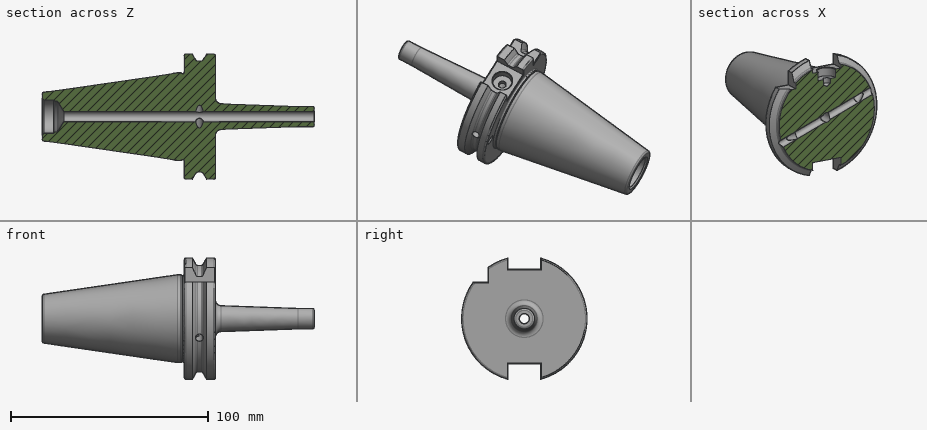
import cadquery as cq
import math


drill_point_angle = 118

taper_length = 68.4
gauge_radius = 22.3
taper_ratio = 7 / 24
taper_end_radius = gauge_radius - taper_length * taper_ratio / 2
taper_end_fillet = 1.0

neck_land_length = 1.6
neck_root_depth = 0.5
neck_fillet = 1.0

flange_start = 71.7
flange_width = 15.8
flange_end = flange_start + flange_width
flange_radius = 31.7
flange_fillet = 0.8

groove_center = 79.4
groove_opening = 7.1
groove_floor_radius = 28.2
groove_wall_angle = 30
groove_fillet = 1.0

total_length = 137.4
shank_root_radius = 6.6
shank_root_fillet = 2.9
shank_tip_radius = 5.2
shank_tip_length = 8.1
shank_tip_fillet = 1.0

pilot_radius = 8.4
pilot_depth = 5.8
pilot_chamfer = 0.8
seat_radius = 7.7
seat_depth = 7.4
throat_radius = 6.9
through_radius = 2.5

slot_width = 16.4
upper_slot_floor = 25.0
lower_slot_floor = 22.8
notch_offset = 18.4
cut_chamfer = 0.4
chamfer_angle = 45
cut_clearance = 1.4

pocket_center = 79.4
pocket_radius = 5.0
pocket_depth = 4.5
pocket_chamfer = 0.3
pocket_drill_radius = 1.9
pocket_drill_depth = 2.7

coolant_radius = 1.9
coolant_angle = 20
coolant_inlet_radius = 26.9
coolant_tilt = 45


def revolve_x(profile):
    return profile.close().revolve(360, (0, 0, 0), (1, 0, 0))


def cylinder(radius, length, start, direction):
    solid = cq.Solid.makeCylinder(radius, length, cq.Vector(*start), cq.Vector(*direction))
    return cq.Workplane(obj=solid)


def drill_point_length(radius):
    return radius / math.tan(math.radians(drill_point_angle / 2))


def make_taper():
    neck_start = taper_length + neck_land_length
    root_radius = gauge_radius - neck_root_depth
    profile = (
        cq.Workplane("XZ")
        .lineTo(0, taper_end_radius)
        .lineTo(taper_length, gauge_radius)
        .lineTo(neck_start, gauge_radius)
        .lineTo(flange_start - neck_fillet, root_radius)
        .radiusArc((flange_start, root_radius + neck_fillet), -neck_fillet)
        .lineTo(flange_start, 0)
    )
    return revolve_x(profile).faces("<X").edges().fillet(taper_end_fillet)


def make_flange():
    disc = cylinder(flange_radius, flange_width, (flange_start, 0, 0), (1, 0, 0))
    disc = disc.edges().fillet(flange_fillet)
    half_opening = groove_opening / 2
    wall_run = (flange_radius - groove_floor_radius) * math.tan(math.radians(groove_wall_angle))
    half_floor = half_opening - wall_run
    groove = revolve_x(
        cq.Workplane("XZ")
        .moveTo(groove_center - half_opening, flange_radius)
        .lineTo(groove_center - half_floor, groove_floor_radius)
        .lineTo(groove_center + half_floor, groove_floor_radius)
        .lineTo(groove_center + half_opening, flange_radius)
    )
    floor_edges = cq.selectors.RadiusNthSelector(0)
    return disc.cut(groove.edges(floor_edges).fillet(groove_fillet))


def make_shank():
    tip_start = total_length - shank_tip_length
    root_end = flange_end + shank_root_fillet
    profile = (
        cq.Workplane("XZ")
        .moveTo(flange_end, 0)
        .lineTo(flange_end, shank_root_radius + shank_root_fillet)
        .radiusArc((root_end, shank_root_radius), -shank_root_fillet)
        .lineTo(tip_start, shank_tip_radius)
        .lineTo(total_length, shank_tip_radius)
        .lineTo(total_length, 0)
    )
    return revolve_x(profile).faces(">X").edges().fillet(shank_tip_fillet)


def make_bore():
    seat_start = pilot_depth + pilot_radius - seat_radius
    throat_start = seat_depth + seat_radius - throat_radius
    point_end = throat_start + drill_point_length(throat_radius - through_radius)
    profile = (
        cq.Workplane("XZ")
        .lineTo(0, pilot_radius + pilot_chamfer)
        .lineTo(pilot_chamfer, pilot_radius)
        .lineTo(pilot_depth, pilot_radius)
        .lineTo(seat_start, seat_radius)
        .lineTo(seat_depth, seat_radius)
        .lineTo(throat_start, throat_radius)
        .lineTo(point_end, through_radius)
        .lineTo(total_length, through_radius)
        .lineTo(total_length, 0)
    )
    return revolve_x(profile)


def make_flange_cut(y_min, y_max, z_min, z_max):
    """Rectangular cut across the flange, flared by a chamfer at both flange faces."""
    y_center = (y_min + y_max) / 2
    z_center = (z_min + z_max) / 2
    width = y_max - y_min
    height = z_max - z_min
    middle = cq.Workplane("YZ", origin=(flange_start, y_center, z_center))
    cut = middle.rect(width, height).extrude(flange_width)
    for face_x, inward in ((flange_start, 1), (flange_end, -1)):
        face = cq.Plane(origin=(face_x, y_center, z_center), xDir=(0, 1, 0), normal=(inward, 0, 0))
        flare = cq.Workplane(face).rect(width + 2 * cut_chamfer, height + 2 * cut_chamfer)
        cut = cut.union(flare.extrude(cut_chamfer, taper=chamfer_angle))
    return cut


def make_flange_cuts():
    beyond = flange_radius + cut_clearance
    half_slot = slot_width / 2
    upper_slot = make_flange_cut(-half_slot, half_slot, upper_slot_floor, beyond)
    lower_slot = make_flange_cut(-half_slot, half_slot, -beyond, -lower_slot_floor)
    notch = make_flange_cut(-beyond, -notch_offset, notch_offset, beyond)
    return upper_slot.union(lower_slot).union(notch)


def make_data_pocket():
    drill_end = pocket_depth + pocket_drill_depth
    profile = (
        cq.Workplane("XZ", origin=(pocket_center, 0, upper_slot_floor))
        .lineTo(pocket_radius + pocket_chamfer, 0)
        .lineTo(pocket_radius, -pocket_chamfer)
        .lineTo(pocket_radius, -pocket_depth)
        .lineTo(pocket_drill_radius, -pocket_depth)
        .lineTo(pocket_drill_radius, -drill_end)
        .lineTo(0, -drill_end - drill_point_length(pocket_drill_radius))
    )
    return profile.close().revolve(360, (0, 0, 0), (0, 1, 0))


def make_coolant_holes():
    """On each side, a radial hole from the groove to the bore, fed by a tilted hole in the flange face."""
    tilt = math.radians(coolant_tilt)
    run = groove_center - flange_start
    holes = cq.Workplane()
    for turn in (coolant_angle, coolant_angle + 180):
        radial = cylinder(coolant_radius, flange_radius, (groove_center, 0, 0), (0, 1, 0))
        start = (flange_start - run, coolant_inlet_radius + run * math.tan(tilt), 0)
        direction = (math.cos(tilt), -math.sin(tilt), 0)
        inlet = cylinder(coolant_radius, 2 * run / math.cos(tilt), start, direction)
        hole = radial.union(inlet)
        holes = holes.add(hole.rotate((0, 0, 0), (1, 0, 0), turn))
    return holes.combine()


body = make_taper().union(make_flange()).union(make_shank())
body = body.cut(make_flange_cuts()).cut(make_data_pocket()).cut(make_coolant_holes())
result = body.cut(make_bore())